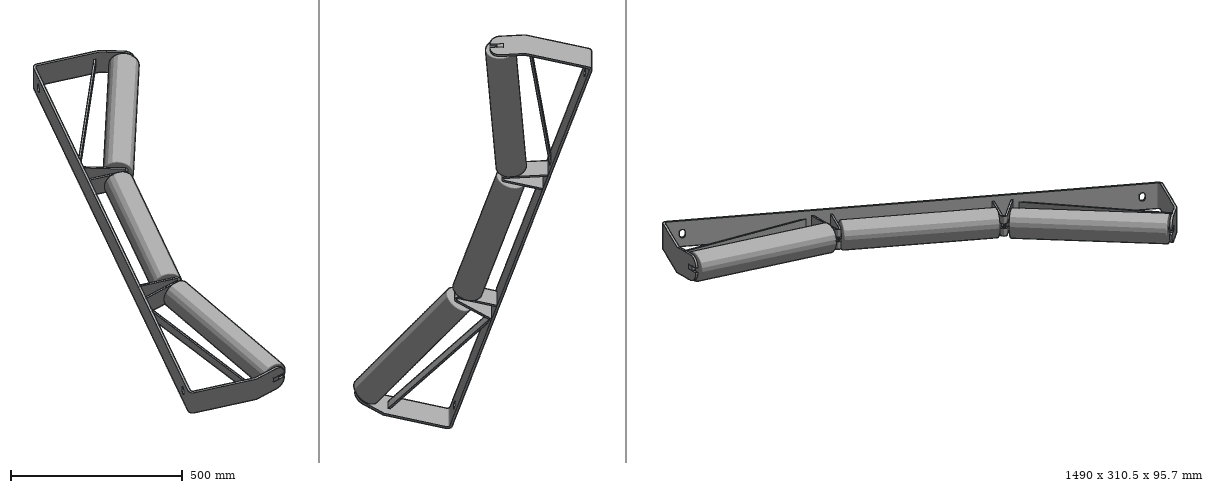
import cadquery as cq
import math

frame_length = 1490.0
strip_height = 80.0
strip_thickness = 7.5
bend_radius = 15.0
wing_angle = 20.0
wing_bend_y = 205.0
wing_plate_length = 102.0
tip_corner_radius = 30.0

mount_slot_length = 26.0
mount_slot_width = 18.0
mount_slot_inset = 60.0

roller_diameter = 89.0
roller_length = 465.0
rim_radius = 4.0
shaft_height = 20.0
shaft_width = 14.0
center_end_gap = 5.0
wing_end_gap = 5.0

center_roller_y = 99.0
center_roller_z = -6.87
wing_shaft_reach = 72.23
wing_outer_z = 0.0
wing_inner_z = center_roller_z

bracket_thickness = 6.0
bracket_height = 62.0
fold_radius = 10.0
wing_leg_foot_x = 300.0

brace_thickness = 6.0
brace_height = 30.0
brace_wall_y = 193.0
brace_foot_x = 317.0

slot_rise = 60.0
slot_overrun = 1.0

half_length = frame_length / 2
half_tube = roller_length / 2
wall_inner_x = half_length - strip_thickness
base_top_y = strip_thickness
upright_leg_x = half_tube + center_end_gap
wing_cos = math.cos(math.radians(wing_angle))
wing_sin = math.sin(math.radians(wing_angle))
wing_tan = math.tan(math.radians(wing_angle))
inner_bend_y = wing_bend_y - strip_thickness * math.tan(math.radians(wing_angle / 2))


def on_wing_plate(distance):
    """XY point on the right wing plate's inner face, a distance up from its bend."""
    return (wall_inner_x - distance * wing_sin, inner_bend_y + distance * wing_cos)


def upright_prism(points, height):
    """Prism of the given XY outline, centered on Z = 0."""
    return cq.Workplane("XY").workplane(offset=-height / 2).polyline(points).close().extrude(height)


def mirrored(points):
    """Closed outline from its right half."""
    return points + [(-x, y) for x, y in reversed(points)]


def mirror_x(body):
    return body.mirror("YZ")


center_axis = cq.Vector(1, 0, 0)
center_middle = cq.Vector(0, center_roller_y, center_roller_z)

wing_fall = math.asin((wing_outer_z - wing_inner_z) / roller_length)
wing_axis = cq.Vector(wing_cos * math.cos(wing_fall), wing_sin * math.cos(wing_fall), math.sin(wing_fall))
wing_seat = cq.Vector(*on_wing_plate(wing_shaft_reach), wing_outer_z)
wing_middle = wing_seat - wing_axis * (half_tube + wing_end_gap)

center_reach = half_tube + center_end_gap + bracket_thickness
wing_outer_reach = half_tube + wing_end_gap + strip_thickness
wing_direction = cq.Vector(wing_cos, wing_sin, 0)
wing_leg_distance = wing_leg_foot_x * wing_cos + base_top_y * wing_sin
wing_inner_reach = wing_middle.dot(wing_direction) - wing_leg_distance + bracket_thickness


def roller_plane(middle, axis, distance):
    """Plane square to a roller axis; its local X points up the shaft slots, away from the base."""
    slot_direction = cq.Vector(0, 0, 1).cross(axis)
    return cq.Plane(origin=middle + axis * distance, xDir=slot_direction, normal=axis)


def make_shaft(middle, axis, inner_reach, outer_reach, rise=0.0):
    """Flat-sided shaft; a rise sweeps it up the slot direction, which gives the slot it slides in by."""
    return (
        cq.Workplane(roller_plane(middle, axis, -inner_reach))
        .center(rise / 2, 0)
        .rect(shaft_height + rise, shaft_width)
        .extrude(inner_reach + outer_reach)
    )


def make_shaft_slots(middle, axis, inner_reach, outer_reach):
    return make_shaft(middle, axis, inner_reach + slot_overrun, outer_reach + slot_overrun, slot_rise)


def make_roller(middle, axis, inner_reach, outer_reach):
    """Drum with rounded rims on its shaft."""
    drum = (
        cq.Workplane(roller_plane(middle, axis, -half_tube))
        .circle(roller_diameter / 2)
        .extrude(roller_length)
        .edges()
        .fillet(rim_radius)
    )
    return drum.union(make_shaft(middle, axis, inner_reach, outer_reach))


center_slots = make_shaft_slots(center_middle, center_axis, center_reach, center_reach)
wing_slots = make_shaft_slots(wing_middle, wing_axis, wing_inner_reach, wing_outer_reach)


def round_bends(prism, radius):
    return prism.edges("|Z").filter(lambda edge: edge.Center().y <= wing_bend_y).fillet(radius)


def make_frame():
    """Bent strip with round-cornered wing plates, open shaft slots and mounting slots."""
    tip_inner = on_wing_plate(wing_plate_length)
    tip_outer = (tip_inner[0] + strip_thickness * wing_cos, tip_inner[1] + strip_thickness * wing_sin)
    outside = mirrored([(half_length, 0), (half_length, wing_bend_y), tip_outer, tip_inner])
    inside = mirrored([(wall_inner_x, base_top_y), (wall_inner_x, inner_bend_y), tip_inner])
    strip = round_bends(upright_prism(outside, strip_height), bend_radius).cut(
        round_bends(upright_prism(inside, strip_height), bend_radius - strip_thickness)
    )
    for side in (1, -1):
        through_plate = cq.Vector(side * wing_cos, wing_sin, 0)
        strip = strip.edges(cq.selectors.ParallelDirSelector(through_plate)).fillet(tip_corner_radius)
    mount_slots = (
        cq.Workplane("XZ")
        .pushPoints([(side * (half_length - mount_slot_inset), 0) for side in (1, -1)])
        .slot2D(mount_slot_length, mount_slot_width, 90)
        .extrude(-strip_thickness)
    )
    return strip.cut(mount_slots).cut(wing_slots).cut(mirror_x(wing_slots))


def bracket_wedge(inset, radius):
    """Solid wedge between the bracket's legs, set in from their outer faces, with a rounded fold."""
    upright_x = upright_leg_x + inset
    leaning_x = wing_leg_foot_x - inset / wing_cos
    apex = (upright_x, base_top_y + (leaning_x - upright_x) / wing_tan)
    prism = upright_prism([(upright_x, base_top_y), (leaning_x, base_top_y), apex], bracket_height)
    return prism.edges("|Z and >Y").fillet(radius).translate((0, 0, center_roller_z))


def make_bracket():
    """Folded strip: an upright leg beside the center roller, a leaning leg beside the wing roller."""
    folded = bracket_wedge(0, fold_radius).cut(
        bracket_wedge(bracket_thickness, fold_radius - bracket_thickness)
    )
    return folded.cut(center_slots).cut(wing_slots)


def make_brace():
    """Flat bar from the frame's side wall down to its base, with ends cut to sit flush."""
    angle = math.atan2(brace_wall_y - base_top_y, wall_inner_x - brace_foot_x)
    return upright_prism(
        [
            (brace_foot_x, base_top_y),
            (wall_inner_x, brace_wall_y),
            (wall_inner_x, brace_wall_y - brace_thickness / math.cos(angle)),
            (brace_foot_x + brace_thickness / math.sin(angle), base_top_y),
        ],
        brace_height,
    )


frame = make_frame()
center_roller = make_roller(center_middle, center_axis, center_reach, center_reach)
wing_roller = make_roller(wing_middle, wing_axis, wing_inner_reach, wing_outer_reach)
bracket = make_bracket()
brace = make_brace()

bodies = [frame.val(), center_roller.val()]
for right_body in (wing_roller, bracket, brace):
    bodies += [right_body.val(), mirror_x(right_body).val()]

result = cq.Compound.makeCompound(bodies)